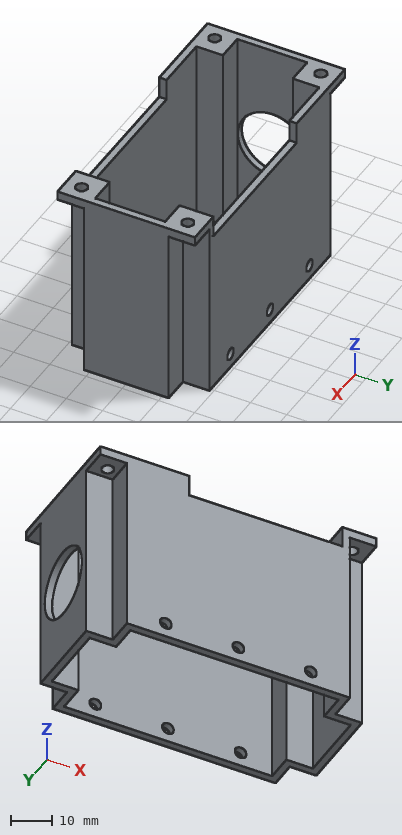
import cadquery as cq

length = 76.0
width = 38.0
height = 52.0

wall = 2.05
corner_recess = 7.3
flange_thickness = 2.5
corner_block = corner_recess + wall

notch_start = 24.5
notch_depth = 5.9

small_hole_diameter = 3.1
screw_inset = 4.3
side_hole_spacing = 20.0
side_hole_height = 4.0
port_diameter = 19.0
port_height = 23.0


def box_from_base(size_x, size_y, size_z):
    """Box centred in X and Y, standing on Z = 0."""
    return cq.Workplane("XY").box(size_x, size_y, size_z, centered=(True, True, False))


def make_cross_prism(size_x, size_y, corner_size, size_z):
    """Rectangular prism with a square removed from each vertical corner."""
    along_x = box_from_base(size_x, size_y - 2 * corner_size, size_z)
    along_y = box_from_base(size_x - 2 * corner_size, size_y, size_z)
    return along_x.union(along_y)


def make_shell():
    """Open-ended housing with recessed corners under full corner flanges."""
    body = make_cross_prism(length, width, corner_recess, height)
    flange = box_from_base(length, width, flange_thickness)
    flange = flange.translate((0, 0, height - flange_thickness))
    cavity = make_cross_prism(length - 2 * wall, width - 2 * wall, corner_recess, height)
    return body.union(flange).cut(cavity)


def make_top_notch():
    notch_length = length - notch_start - corner_block
    notch_center = -length / 2 + notch_start + notch_length / 2
    notch = box_from_base(notch_length, width, notch_depth)
    return notch.translate((notch_center, 0, height - notch_depth))


def make_screw_holes():
    """Vertical holes through the four corner flanges."""
    return (
        cq.Workplane("XY")
        .workplane(offset=height - flange_thickness)
        .rect(length - 2 * screw_inset, width - 2 * screw_inset, forConstruction=True)
        .vertices()
        .circle(small_hole_diameter / 2)
        .extrude(flange_thickness)
    )


def make_side_holes():
    """Row of three holes through both long walls."""
    centers = [(step * side_hole_spacing, side_hole_height) for step in (-1, 0, 1)]
    return (
        cq.Workplane("XZ")
        .pushPoints(centers)
        .circle(small_hole_diameter / 2)
        .extrude(width / 2, both=True)
    )


def make_end_port():
    """Large round opening through the -X end wall only."""
    return (
        cq.Workplane("YZ")
        .workplane(offset=-length / 2)
        .center(0, port_height)
        .circle(port_diameter / 2)
        .extrude(wall)
    )


result = (
    make_shell()
    .cut(make_top_notch())
    .cut(make_screw_holes())
    .cut(make_side_holes())
    .cut(make_end_port())
)